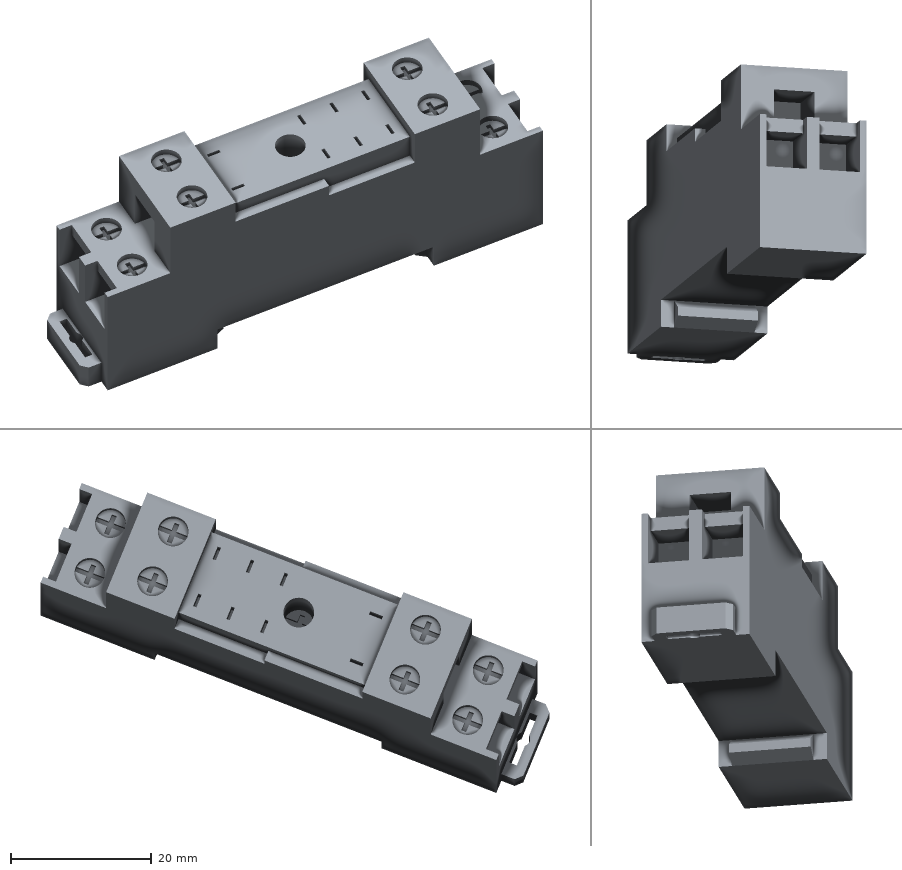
import cadquery as cq


total_length = 73.0
width = 15.8
height = 29.0
tab_reach = 3.0
body_length = total_length - tab_reach
step_length = 10.1
tower_length = 10.5
step_height = 19.5
tower_inner = step_length + tower_length

level_drop = 2.0
bed_height = height - level_drop
front_ledge_height = bed_height - level_drop
rear_ledge_height = front_ledge_height - level_drop
ledge_width = 1.5
ledge_step_y = 35.6

channel_start = 17.7
channel_end = 52.5
channel_height = 3.95
clip_width = 11.9
tooth_reach = 2.0
tooth_bevel_height = channel_height / 3
tab_chamfer = 0.95
tab_slot_length = 7.9
tab_slot_width = 1.2
tab_hole_diameter = 2.0
tab_hole_y = -tab_hole_diameter / 2

screw_x = 3.95
screw_end_offsets = (6.0, 15.6)
screw_diameter = 4.4
screw_recess = 1.0
cross_width = 0.7
cross_short_arm = 3.0
cross_depth = 0.7
centre_screw_y = 33.5
centre_screw_recess = 7.3

entry_width = 6.0
entry_height = 7.6
entry_depth = 7.3
entry_lip = 2.0
entry_notch_depth = 2.0
window_width = 6.0
window_roof = 3.35
window_depth = 7.3

contact_x = 3.7
contact_length = 2.0
contact_width = 0.5
contact_depth = 2.0
contact_rows = (37.3, 42.5, 47.6)
coil_row = 23.15


def box(x_size, y_start, y_end, z_start, z_end, x_centre=0.0):
    """Box centred on x_centre, spanning the given Y and Z ranges."""
    return cq.Workplane("XY").box(
        x_size, y_end - y_start, z_end - z_start, centered=(True, False, False)
    ).translate((x_centre, y_start, z_start))


def extrude_side_profile(points, x_size):
    """Extrude a (y, z) outline symmetrically about X = 0."""
    return cq.Workplane("YZ").polyline(points).close().extrude(x_size / 2, both=True)


def mirror_to_rear(shape):
    """Copy a front-end shape onto the rear end of the housing."""
    return shape.mirror("XZ", (0, body_length / 2, 0))


def make_housing():
    outline = [
        (0, 0),
        (channel_start, 0),
        (channel_start, channel_height),
        (channel_end, channel_height),
        (channel_end, 0),
        (body_length, 0),
        (body_length, step_height),
        (body_length - step_length, step_height),
        (body_length - step_length, height),
        (body_length - tower_inner, height),
        (body_length - tower_inner, rear_ledge_height),
        (ledge_step_y, rear_ledge_height),
        (ledge_step_y, front_ledge_height),
        (tower_inner, front_ledge_height),
        (tower_inner, height),
        (step_length, height),
        (step_length, step_height),
        (0, step_height),
    ]
    bed = box(
        width - 2 * ledge_width, tower_inner, body_length - tower_inner, channel_height, bed_height
    )
    return extrude_side_profile(outline, width).union(bed)


def make_clip_tooth(root_y, direction):
    """Bevelled rail tooth pointing into the channel along +Y or -Y."""
    tip_y = root_y + direction * tooth_reach
    outline = [
        (root_y, 0),
        (tip_y, tooth_bevel_height),
        (tip_y, channel_height - tooth_bevel_height),
        (root_y, channel_height),
    ]
    return extrude_side_profile(outline, clip_width)


def make_release_tab():
    tab = box(clip_width, -tab_reach, 0, 0, channel_height)
    tab = tab.edges("|Z and <Y").chamfer(tab_chamfer)
    hole_centre = cq.Workplane("XY").center(0, tab_hole_y)
    slot = hole_centre.rect(tab_slot_length, tab_slot_width).extrude(channel_height)
    hole = hole_centre.circle(tab_hole_diameter / 2).extrude(channel_height)
    return tab.cut(slot).cut(hole)


def make_screw_cutter(x, y, top, recess):
    """Round screw well with a cross slot sunk into its floor."""
    floor = top - recess
    well = cq.Workplane("XY", origin=(x, y, floor)).circle(screw_diameter / 2).extrude(recess)
    slot_plane = cq.Workplane("XY", origin=(x, y, floor - cross_depth))
    short_arm = slot_plane.rect(cross_short_arm, cross_width).extrude(cross_depth)
    head = slot_plane.circle(screw_diameter / 2).extrude(cross_depth)
    long_arm = slot_plane.rect(cross_width, screw_diameter).extrude(cross_depth).intersect(head)
    return well.union(short_arm).union(long_arm)


def make_wire_entry(x):
    """Wire pocket in the front end face with its roof cut away at the mouth."""
    pocket = box(entry_width, 0, entry_depth, step_height - entry_height, step_height - entry_lip, x)
    notch = box(entry_width, 0, entry_notch_depth, step_height - entry_lip, step_height, x)
    return pocket.union(notch)


def make_contact_slot(x, y, x_size, y_size):
    return box(x_size, y - y_size / 2, y + y_size / 2, bed_height - contact_depth, bed_height, x)


result = (
    make_housing()
    .union(make_clip_tooth(channel_start, 1))
    .union(make_clip_tooth(channel_end, -1))
    .union(make_release_tab())
)

terminal_cutters = [
    box(window_width, step_length, step_length + window_depth, step_height, height - window_roof)
]
for side in (-1, 1):
    terminal_cutters.append(make_wire_entry(side * screw_x))
    for row, top in zip(screw_end_offsets, (step_height, height)):
        terminal_cutters.append(make_screw_cutter(side * screw_x, row, top, screw_recess))
for cutter in terminal_cutters:
    result = result.cut(cutter).cut(mirror_to_rear(cutter))

result = result.cut(make_screw_cutter(0, centre_screw_y, bed_height, centre_screw_recess))
for side in (-1, 1):
    for row in contact_rows:
        result = result.cut(make_contact_slot(side * contact_x, row, contact_length, contact_width))
    result = result.cut(make_contact_slot(side * contact_x, coil_row, contact_width, contact_length))